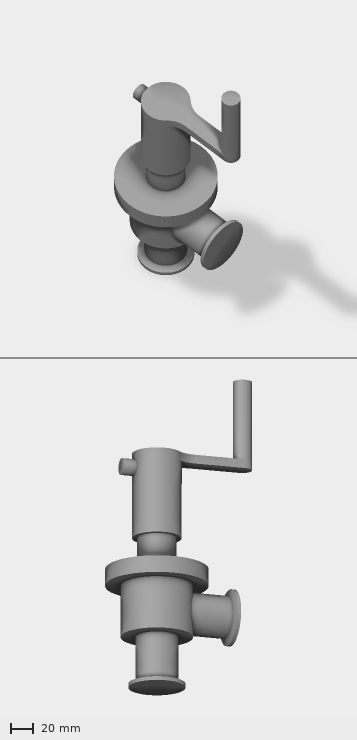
import cadquery as cq
import math

TOTAL_HEIGHT = 286.8
CHAMBER_BOTTOM = 46.2
FLANGE_BOTTOM = 93.2
FLANGE_TOP = 108.5
HUB_BOTTOM = 136.8
HUB_TOP = 214.0

CHAMBER_DIAMETER = 64.0
FLANGE_DIAMETER = 91.5
NECK_DIAMETER = 35.0

PORT_DIAMETER = 38.2
FERRULE_DIAMETER = 50.5
FERRULE_RIM = 3.5
FERRULE_TAPER_LENGTH = 2.3
SIDE_PORT_REACH = 70.0
SIDE_PORT_HEIGHT = 70.0

HUB_DIAMETER = 44.0
ARM_THICKNESS = 8.0
GRIP_DIAMETER = 17.0
GRIP_OFFSET = 133.7 - FLANGE_DIAMETER / 2 - GRIP_DIAMETER / 2
BLEND_RADIUS = 24.5
PIN_DIAMETER = 15.0
PIN_REACH = 33.3
PIN_HEIGHT = 199.6


def cylinder(diameter, bottom, top):
    """Vertical cylinder on the main axis."""
    return cq.Workplane("XY").workplane(offset=bottom).circle(diameter / 2).extrude(top - bottom)


def make_port(length):
    """Upright tube with a clamp ferrule, whose rim starts at the origin."""
    tube_radius = PORT_DIAMETER / 2
    taper_end = FERRULE_RIM + FERRULE_TAPER_LENGTH
    profile = [
        (0, 0),
        (FERRULE_DIAMETER / 2, 0),
        (FERRULE_DIAMETER / 2, FERRULE_RIM),
        (tube_radius, taper_end),
        (tube_radius, length),
        (0, length),
    ]
    return cq.Workplane("XZ").polyline(profile).close().revolve(360, (0, 0, 0), (0, 1, 0))


def make_housing():
    """Chamber with its flange, neck and two ports."""
    chamber = cylinder(CHAMBER_DIAMETER, CHAMBER_BOTTOM, FLANGE_BOTTOM)
    flange = cylinder(FLANGE_DIAMETER, FLANGE_BOTTOM, FLANGE_TOP)
    neck = cylinder(NECK_DIAMETER, FLANGE_TOP, HUB_BOTTOM)
    bottom_port = make_port(CHAMBER_BOTTOM)
    side_port = (
        make_port(SIDE_PORT_REACH)
        .rotate((0, 0, 0), (0, 1, 0), -90)
        .translate((SIDE_PORT_REACH, 0, SIDE_PORT_HEIGHT))
    )
    return chamber.union(flange).union(neck).union(bottom_port).union(side_port)


def make_arm():
    """Flat arm that blends tangentially out of the hub and ends in a half round."""
    hub_radius = HUB_DIAMETER / 2
    half_width = GRIP_DIAMETER / 2

    blend_y = half_width + BLEND_RADIUS
    center_distance = hub_radius + BLEND_RADIUS
    blend_x = math.sqrt(center_distance**2 - blend_y**2)
    hub_x = blend_x * hub_radius / center_distance
    hub_y = blend_y * hub_radius / center_distance

    return (
        cq.Workplane("XY")
        .workplane(offset=HUB_TOP - ARM_THICKNESS)
        .moveTo(hub_x, hub_y)
        .radiusArc((blend_x, half_width), -BLEND_RADIUS)
        .lineTo(GRIP_OFFSET, half_width)
        .threePointArc((GRIP_OFFSET + half_width, 0), (GRIP_OFFSET, -half_width))
        .lineTo(blend_x, -half_width)
        .radiusArc((hub_x, -hub_y), -BLEND_RADIUS)
        .threePointArc((-hub_radius, 0), (hub_x, hub_y))
        .close()
        .extrude(ARM_THICKNESS)
    )


def make_crank():
    """Hub with its arm and the pin that sticks out on the -X side."""
    hub = cylinder(HUB_DIAMETER, HUB_BOTTOM, HUB_TOP)
    pin = cq.Workplane("YZ").center(0, PIN_HEIGHT).circle(PIN_DIAMETER / 2).extrude(-PIN_REACH)
    return hub.union(make_arm()).union(pin)


def make_grip():
    """Round handle standing on the end of the arm."""
    return cylinder(GRIP_DIAMETER, HUB_TOP, TOTAL_HEIGHT).translate((GRIP_OFFSET, 0, 0))


housing = make_housing()
crank = make_crank()
grip = make_grip()

result = cq.Compound.makeCompound([housing.val(), crank.val(), grip.val()])